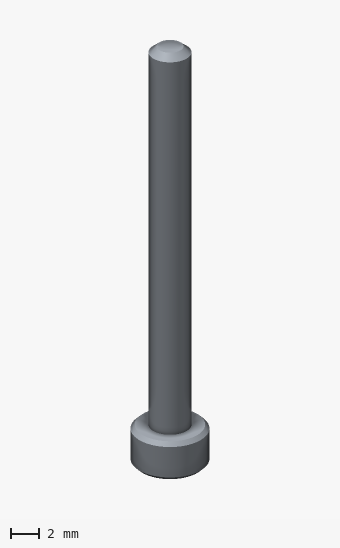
import cadquery as cq

total_length = 33.0
head_diameter = 5.5
head_height = 3.0
head_chamfer = 0.3
shank_diameter = 3.0
tip_diameter = 1.88
tip_height = 0.45


def make_head():
    """Cylindrical head with both rims chamfered."""
    head = cq.Workplane("XY").circle(head_diameter / 2).extrude(head_height)
    return head.faces("<Z or >Z").edges().chamfer(head_chamfer)


def make_shank():
    """Plain shank from the base of the head, tapering to a smaller flat tip."""
    profile = (
        cq.Workplane("XZ")
        .lineTo(shank_diameter / 2, 0)
        .lineTo(shank_diameter / 2, total_length - tip_height)
        .lineTo(tip_diameter / 2, total_length)
        .lineTo(0, total_length)
        .close()
    )
    return profile.revolve(360, (0, 0), (0, 1))


result = make_head().union(make_shank())